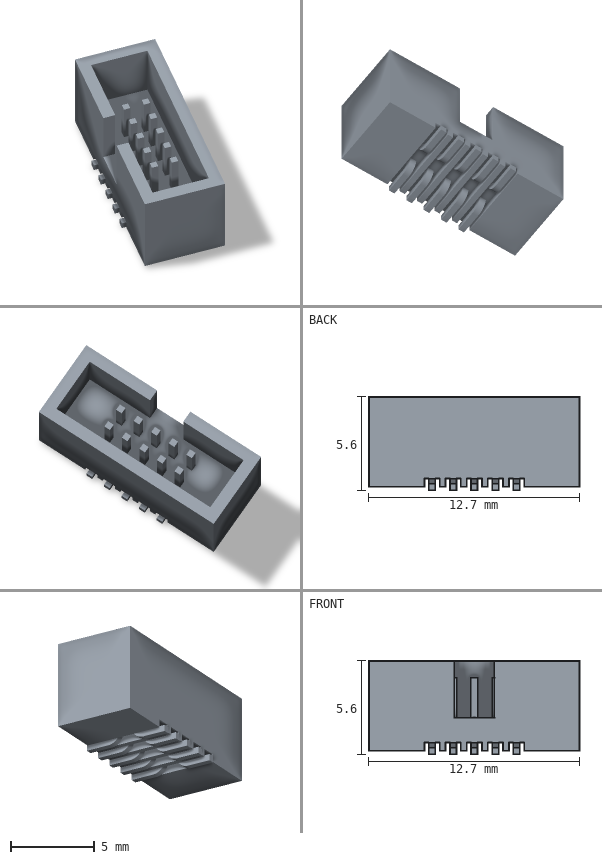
import cadquery as cq


body_length = 12.65
body_depth = 5.1
body_height = 5.4
wall = 0.76
cavity_depth = 3.4
key_width = 2.4

pin_count = 5
row_length = 5.07
pitch = row_length / (pin_count - 1)
pin_size = 0.4
pin_recess = 1.0
lead_span = 5.5
standoff = 0.2
bend_inner_radius = 0.4

slot_width = 0.9
slot_height = 0.49

body_top = standoff + body_height
floor_z = body_top - cavity_depth
pin_top = body_top - pin_recess
column_positions = [(i - (pin_count - 1) / 2) * pitch for i in range(pin_count)]


def box(length, depth, height, x, y, z):
    """Block centred on (x, y) with its underside at z."""
    return cq.Workplane("XY").box(length, depth, height, centered=(True, True, False)).translate((x, y, z))


def make_housing():
    """Walled box with a key notch in the -Y wall and a through slot under each pair of leads."""
    housing = box(body_length, body_depth, body_height, 0, 0, standoff)
    housing = housing.cut(
        box(body_length - 2 * wall, body_depth - 2 * wall, cavity_depth, 0, 0, floor_z)
    )
    key_y = -(body_depth - wall) / 2
    housing = housing.cut(box(key_width, wall, cavity_depth, 0, key_y, floor_z))
    for x in column_positions:
        housing = housing.cut(box(slot_width, body_depth, slot_height, x, 0, standoff))
    return housing


def make_lead(x):
    """Square lead on the +Y side: a vertical pin bent outward into a flat foot."""
    inner_face = (pitch - pin_size) / 2
    outer_face = inner_face + pin_size
    foot_end = lead_span / 2
    bend_outer_radius = bend_inner_radius + pin_size
    bend_y = inner_face + bend_outer_radius
    bend_z = bend_outer_radius
    diagonal = 0.5 ** 0.5

    def bend_middle(radius):
        return (bend_y - radius * diagonal, bend_z - radius * diagonal)

    return (
        cq.Workplane("YZ")
        .moveTo(inner_face, pin_top)
        .lineTo(inner_face, bend_z)
        .threePointArc(bend_middle(bend_outer_radius), (bend_y, 0))
        .lineTo(foot_end, 0)
        .lineTo(foot_end, pin_size)
        .lineTo(bend_y, pin_size)
        .threePointArc(bend_middle(bend_inner_radius), (outer_face, bend_z))
        .lineTo(outer_face, pin_top)
        .close()
        .extrude(pin_size / 2, both=True)
        .translate((x, 0, 0))
    )


result = make_housing()
for column_x in column_positions:
    lead = make_lead(column_x)
    result = result.union(lead).union(lead.mirror("XZ"))